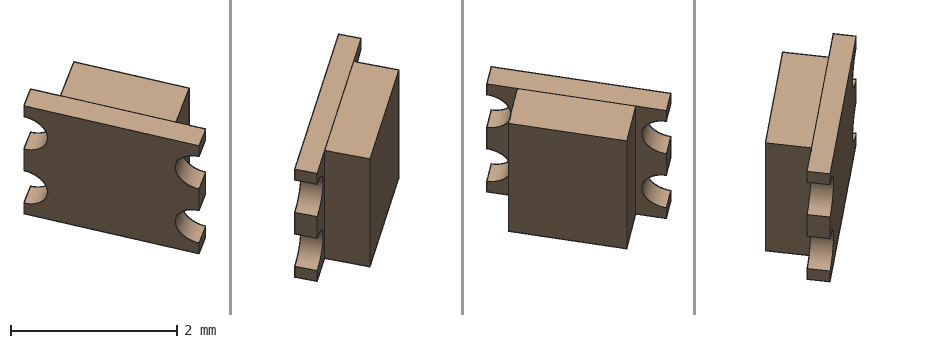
import cadquery as cq

board_length = 2.2
height = 2.0
board_thickness = 0.28
lens_length = 1.45
lens_thickness = 0.56
notch_radius = 0.3
notch_pitch = height / 2


def make_board():
    """Flat board with two half-round notches in each end."""
    board = cq.Workplane("XY").box(
        board_length, board_thickness, height, centered=(True, False, True)
    )
    notch_centers = [
        (x_side * board_length / 2, z_side * notch_pitch / 2)
        for x_side in (-1, 1)
        for z_side in (-1, 1)
    ]
    notches = (
        cq.Workplane("XZ")
        .pushPoints(notch_centers)
        .circle(notch_radius)
        .extrude(-board_thickness)
    )
    return board.cut(notches).solids()


def make_lens():
    """Plain block seated on the +Y face of the board, between the notched ends."""
    return (
        cq.Workplane("XY")
        .box(lens_length, lens_thickness, height, centered=(True, False, True))
        .translate((0, board_thickness, 0))
    )


board = make_board()
lens = make_lens()

result = cq.Compound.makeCompound([board.val(), lens.val()])